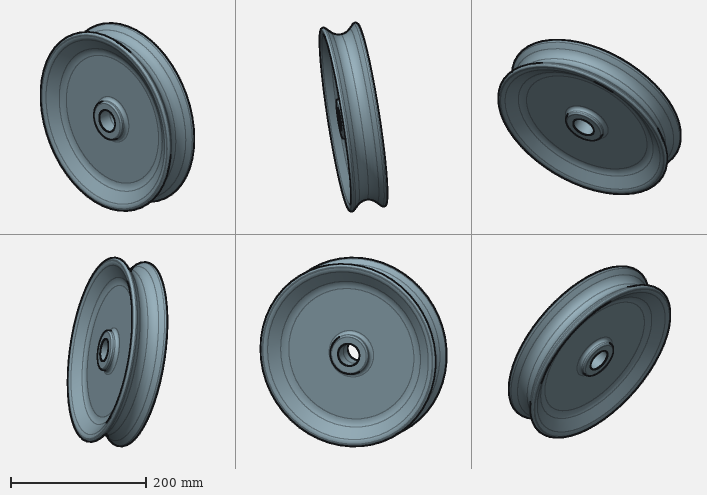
import cadquery as cq
import math

outer_radius = 138.0
half_width = 27.45

groove_bottom_radius = 124.2
groove_arc_radius = 20.7
groove_wall_angle = math.radians(45)
rim_round = 3.45

web_half_thickness = 10.8
web_flat_radius = 98.5
dish_outer_radius = 133.3
web_blend_width = 11.5
rim_blend_width = 6.5

bore_radius = 16.5
bore_chamfer = 0.5
hub_half_length = 21.3
hub_radius = 29.8
hub_edge_round = 2.5
hub_base_fillet = 5.2


def arc_point(center, radius, angle):
    """Point on an arc as (distance from the axis, distance from the mid-plane)."""
    return (center[0] + radius * math.cos(angle), center[1] + radius * math.sin(angle))


def dish_cone_angle():
    """Angle of the cone to the web that makes the dish exactly as deep as needed.

    A blend rises by its width times tan(angle / 2), the cone by its width times
    tan(angle). With t = tan(angle / 2) and tan(angle) = 2t / (1 - t^2), t is
    found by repeated substitution.
    """
    depth = half_width - web_half_thickness
    blend_width = web_blend_width + rim_blend_width
    cone_width = dish_outer_radius - web_flat_radius - blend_width
    t = 0.0
    for _ in range(30):
        t = depth / (blend_width + 2 * cone_width / (1 - t**2))
    return 2 * math.atan(t)


cone_angle = dish_cone_angle()
web_blend_radius = web_blend_width / math.sin(cone_angle)
rim_blend_radius = rim_blend_width / math.sin(cone_angle)

up = math.pi / 2
hub_edge_center = (hub_radius - hub_edge_round, hub_half_length - hub_edge_round)
hub_base_center = (hub_radius + hub_base_fillet, web_half_thickness + hub_base_fillet)
web_blend_center = (web_flat_radius, web_half_thickness + web_blend_radius)
rim_blend_center = (dish_outer_radius, half_width - rim_blend_radius)
rim_center = (outer_radius - rim_round, half_width - rim_round)
groove_center = (groove_bottom_radius + groove_arc_radius, 0)
rim_tangent_angle = groove_wall_angle - up
groove_end_angle = math.pi - groove_wall_angle

half_profile = (
    cq.Workplane("XY")
    .moveTo(bore_radius, 0)
    .lineTo(bore_radius, hub_half_length - bore_chamfer)
    .lineTo(bore_radius + bore_chamfer, hub_half_length)
    .lineTo(hub_edge_center[0], hub_half_length)
    .threePointArc(
        arc_point(hub_edge_center, hub_edge_round, up / 2),
        arc_point(hub_edge_center, hub_edge_round, 0),
    )
    .lineTo(hub_radius, hub_base_center[1])
    .threePointArc(
        arc_point(hub_base_center, hub_base_fillet, math.pi + up / 2),
        arc_point(hub_base_center, hub_base_fillet, -up),
    )
    .lineTo(web_flat_radius, web_half_thickness)
    .threePointArc(
        arc_point(web_blend_center, web_blend_radius, cone_angle / 2 - up),
        arc_point(web_blend_center, web_blend_radius, cone_angle - up),
    )
    .lineTo(*arc_point(rim_blend_center, rim_blend_radius, up + cone_angle))
    .threePointArc(
        arc_point(rim_blend_center, rim_blend_radius, up + cone_angle / 2),
        arc_point(rim_blend_center, rim_blend_radius, up),
    )
    .lineTo(rim_center[0], half_width)
    .threePointArc(
        arc_point(rim_center, rim_round, up / 2),
        arc_point(rim_center, rim_round, 0),
    )
    .threePointArc(
        arc_point(rim_center, rim_round, rim_tangent_angle / 2),
        arc_point(rim_center, rim_round, rim_tangent_angle),
    )
    .lineTo(*arc_point(groove_center, groove_arc_radius, groove_end_angle))
    .threePointArc(
        arc_point(groove_center, groove_arc_radius, (groove_end_angle + math.pi) / 2),
        (groove_bottom_radius, 0),
    )
)

section = half_profile.mirrorX()
result = section.revolve(360, (0, 0, 0), (0, -1, 0))